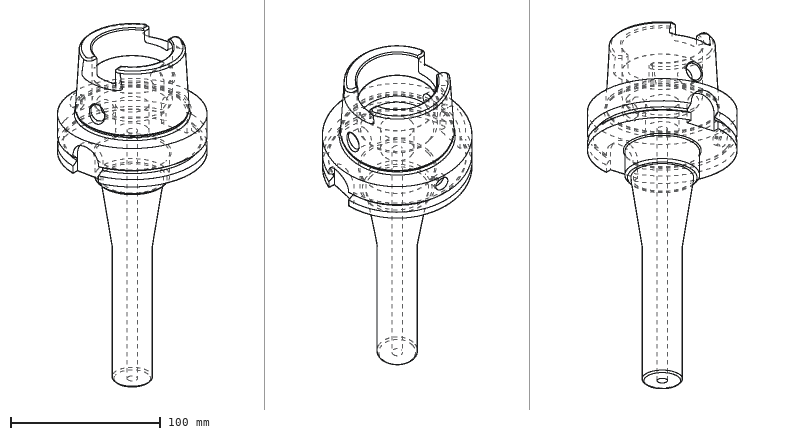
import cadquery as cq
import math

cut_clearance = 2.5

total_height = 250.0
shank_top = 100.0
cone_top = 150.0
neck_chamfer_bottom = 151.0
flange_bottom = 171.0
flange_top = 200.0

shank_radius = 13.5
shank_chamfer = 1.2
cone_top_radius = 21.0
neck_radius = 25.0
neck_chamfer = 1.7
neck_root_bevel = 1.0

flange_radius = 50.0
groove_center = 180.0
groove_floor_radius = 46.0
groove_floor_width = 2.0
groove_mouth_width = 7.0

taper_radius = 38.0
taper_top_radius = 35.5
relief_height = 3.5
relief_radius = 37.2
relief_width = 1.0
base_bevel = 1.5
rim_chamfer = 1.5

mouth_radius = 27.0
mouth_chamfer = 1.0
mouth_depth = 20.5
bore_radius = 26.7
cone_start = 210.5
cavity_floor = 207.0
cavity_floor_radius = 24.5
pocket_radius = 11.2
pocket_depth = 20.0
coolant_radius = 3.5

notch_half_width = 10.0
notch_corner_radius = 4.0
notch_foot_radius = 2.0
front_notch_depth = 14.5
back_notch_depth = 10.0
notch_inner = 20.0
notch_exit_angle = 20.0
notch_exit_length = 12.5

cross_hole_height = 215.2
cross_hole_radius = 6.0
cross_hole_chamfer = 1.2

key_half_width = 11.0
key_top = 195.5
key_floor = 44.0

chip_hole_height = 193.2
chip_hole_radius = 5.0
chip_hole_depth = 5.0
chip_mark_radius = 0.7
chip_mark_depth = 1.2


def revolve_profile(points):
    """Turn a list of (radius, height) points about the tool axis."""
    return cq.Workplane("XZ").polyline(points).close().revolve(360, (0, 0, 0), (0, 1, 0))


def make_body():
    """Solid of shank, cone, neck, grooved flange and taper."""
    groove_low = groove_center - groove_mouth_width / 2
    groove_high = groove_center + groove_mouth_width / 2
    floor_low = groove_center - groove_floor_width / 2
    floor_high = groove_center + groove_floor_width / 2
    return revolve_profile([
        (0, 0),
        (shank_radius - shank_chamfer, 0),
        (shank_radius, shank_chamfer),
        (shank_radius, shank_top),
        (cone_top_radius, cone_top),
        (cone_top_radius, neck_chamfer_bottom),
        (neck_radius - neck_chamfer, neck_chamfer_bottom),
        (neck_radius, neck_chamfer_bottom + neck_chamfer),
        (neck_radius, flange_bottom - neck_root_bevel),
        (neck_radius + neck_root_bevel, flange_bottom),
        (flange_radius, flange_bottom),
        (flange_radius, groove_low),
        (groove_floor_radius, floor_low),
        (groove_floor_radius, floor_high),
        (flange_radius, groove_high),
        (flange_radius, flange_top),
        (relief_radius + base_bevel, flange_top),
        (relief_radius, flange_top + base_bevel),
        (relief_radius, flange_top + base_bevel + relief_width),
        (taper_radius, flange_top + relief_height),
        (taper_top_radius, total_height - rim_chamfer),
        (taper_top_radius - rim_chamfer, total_height),
        (0, total_height),
    ])


def make_cavity():
    """Stepped bore of the taper with the coolant hole down to the shank tip."""
    return revolve_profile([
        (0, 0),
        (coolant_radius, 0),
        (coolant_radius, cavity_floor - pocket_depth),
        (pocket_radius, cavity_floor - pocket_depth),
        (pocket_radius, cavity_floor),
        (cavity_floor_radius, cavity_floor),
        (bore_radius, cone_start),
        (bore_radius, total_height - mouth_depth),
        (mouth_radius, total_height - mouth_depth),
        (mouth_radius, total_height - mouth_chamfer),
        (mouth_radius + mouth_chamfer, total_height),
        (0, total_height),
    ])


def make_notch_cutter(depth):
    """Notch on the +Y side: parallel walls that round outwards into the rim."""
    r = notch_corner_radius
    center_x = notch_half_width + r
    center_y = math.sqrt((taper_top_radius - r) ** 2 - center_x ** 2)
    angle = math.atan2(center_y, center_x)

    def on_corner(a):
        return center_x + r * math.cos(a), center_y + r * math.sin(a)

    tangent_x, tangent_y = on_corner(angle)
    middle_x, middle_y = on_corner((angle + math.pi) / 2)
    exit_angle = angle - math.pi / 2 + math.radians(notch_exit_angle)
    exit_x = tangent_x + notch_exit_length * math.cos(exit_angle)
    exit_y = tangent_y + notch_exit_length * math.sin(exit_angle)
    outer_y = taper_radius + cut_clearance
    floor_height = total_height - depth
    outline = (
        cq.Workplane("XY", origin=(0, 0, floor_height))
        .moveTo(-notch_half_width, notch_inner)
        .lineTo(notch_half_width, notch_inner)
        .lineTo(notch_half_width, center_y)
        .threePointArc((middle_x, middle_y), (tangent_x, tangent_y))
        .lineTo(exit_x, exit_y)
        .lineTo(exit_x, outer_y)
        .lineTo(-exit_x, outer_y)
        .lineTo(-exit_x, exit_y)
        .lineTo(-tangent_x, tangent_y)
        .threePointArc((-middle_x, middle_y), (-notch_half_width, center_y))
        .close()
    )
    slot = outline.extrude(depth).faces("<Z").edges("not |X").fillet(notch_foot_radius)
    flared_top = (
        outline.translate((0, 0, depth - rim_chamfer)).wires().toPending()
        .extrude(rim_chamfer, taper=-45)
    )
    return slot.union(flared_top)


def make_cross_hole():
    """Hole through both walls along Y, countersunk on the outside."""
    taper_height = total_height - rim_chamfer - flange_top - relief_height
    slope = (taper_radius - taper_top_radius) / taper_height
    surface_radius = taper_radius - slope * (cross_hole_height - flange_top - relief_height)
    countersink_start = surface_radius - cross_hole_chamfer
    overrun = taper_radius + cut_clearance - countersink_start
    profile = [
        (0, 0),
        (cross_hole_radius, 0),
        (cross_hole_radius, countersink_start),
        (cross_hole_radius + overrun, countersink_start + overrun),
        (0, countersink_start + overrun),
    ]
    half = revolve_profile(profile).rotate((0, 0, 0), (1, 0, 0), -90)
    return half.union(turn_to_front(half)).translate((0, 0, cross_hole_height))


def make_keyway():
    """Round-topped keyway on the +Y side, open at the flange bottom."""
    arc_center = key_top - key_half_width
    return (
        cq.Workplane("XZ", origin=(0, flange_radius + cut_clearance, 0))
        .moveTo(-key_half_width, flange_bottom)
        .lineTo(key_half_width, flange_bottom)
        .lineTo(key_half_width, arc_center)
        .threePointArc((0, key_top), (-key_half_width, arc_center))
        .close()
        .extrude(flange_radius + cut_clearance - key_floor)
    )


def make_chip_hole():
    """Flat-bottomed hole from the -X side with a small centre mark."""
    start = cq.Workplane("YZ", origin=(-flange_radius - cut_clearance, 0, chip_hole_height))
    hole = start.circle(chip_hole_radius).extrude(cut_clearance + chip_hole_depth)
    mark = start.circle(chip_mark_radius).extrude(cut_clearance + chip_hole_depth + chip_mark_depth)
    return hole.union(mark)


def turn_to_front(shape):
    """Turn a cutter from the +Y side half a turn to the -Y side."""
    return shape.rotate((0, 0, 0), (0, 0, 1), 180)


keyway = make_keyway()

result = make_body().cut(make_cavity())
result = result.cut(make_notch_cutter(back_notch_depth))
result = result.cut(turn_to_front(make_notch_cutter(front_notch_depth)))
result = result.cut(make_cross_hole())
result = result.cut(keyway).cut(turn_to_front(keyway))
result = result.cut(make_chip_hole())